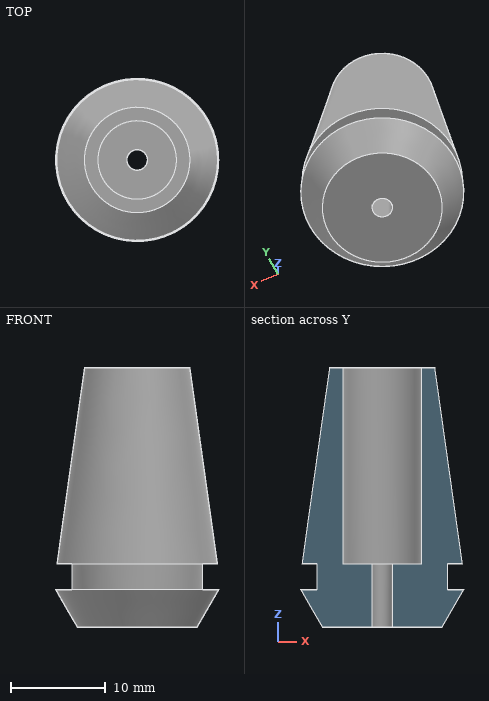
import cadquery as cq
import math

total_height = 27.5
top_radius = 5.58
taper_angle = 8.0
nose_angle = 30.0
nose_height = 4.0
nose_radius = 8.64
groove_radius = 6.93
groove_width = 2.72
bore_radius = 4.15
hole_radius = 1.07

groove_top = nose_height + groove_width
taper_height = total_height - groove_top
taper_radius = top_radius + taper_height * math.tan(math.radians(taper_angle))
base_radius = nose_radius - nose_height * math.tan(math.radians(nose_angle))
bore_floor = groove_top


def collet_body():
    """Solid of revolution: short nose cone, extraction groove and long cone."""
    half_section = [
        (0, 0),
        (base_radius, 0),
        (nose_radius, nose_height),
        (groove_radius, nose_height),
        (groove_radius, groove_top),
        (taper_radius, groove_top),
        (top_radius, total_height),
        (0, total_height),
    ]
    return cq.Workplane("XZ").polyline(half_section).close().revolve(360, (0, 0), (0, 1))


def stepped_bore():
    """Wide bore open at the top, with a narrow hole on through the nose."""
    hole = cq.Workplane("XY").circle(hole_radius).extrude(total_height)
    bore = (
        cq.Workplane("XY")
        .workplane(offset=bore_floor)
        .circle(bore_radius)
        .extrude(total_height - bore_floor)
    )
    return hole.union(bore)


result = collet_body().cut(stepped_bore())